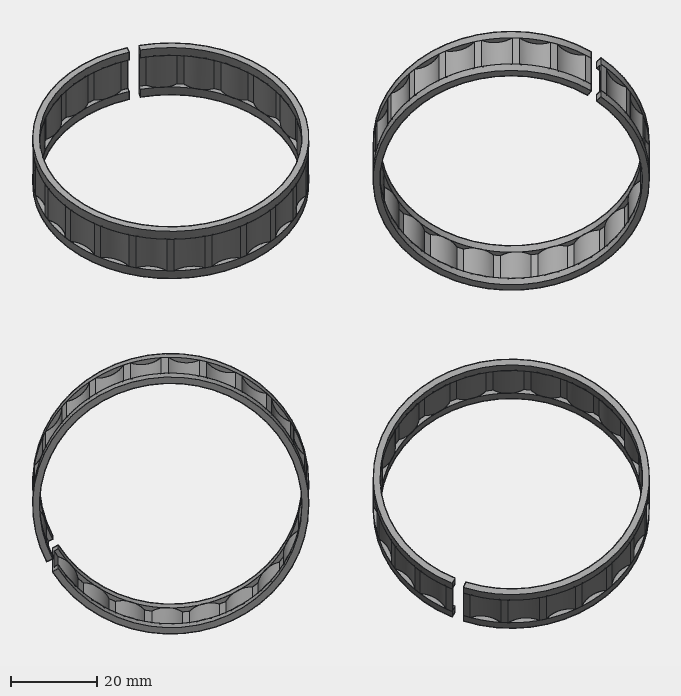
import cadquery as cq
import math

outer_diameter = 64.03
ring_wall = 1.6
height = 15.0
ring_height = 2.5

land_angle = 3.0
scoop_angle = 13.0
scoop_count = 22
gap_centre_angle = 168.0

band_thickness = 0.5
scoop_depth = 1.2

outer_radius = outer_diameter / 2
inner_radius = outer_radius - ring_wall
band_height = height - 2 * ring_height
sweep_angle = scoop_count * (scoop_angle + land_angle) + land_angle
gap_angle = 360.0 - sweep_angle
start_angle = gap_centre_angle + gap_angle / 2
end_angle = start_angle + sweep_angle


def polar(radius, angle):
    """Point at a radius and an angle in degrees about Z."""
    radians = math.radians(angle)
    return (radius * math.cos(radians), radius * math.sin(radians))


def split_ring(bottom):
    """Ring of rectangular section, open across the gap."""
    middle_angle = (start_angle + end_angle) / 2
    return (
        cq.Workplane("XY", origin=(0, 0, bottom))
        .moveTo(*polar(outer_radius, start_angle))
        .threePointArc(polar(outer_radius, middle_angle), polar(outer_radius, end_angle))
        .lineTo(*polar(inner_radius, end_angle))
        .threePointArc(polar(inner_radius, middle_angle), polar(inner_radius, start_angle))
        .close()
        .extrude(ring_height)
    )


def add_corrugations(outline, land_radius, first_angle, direction):
    """Continue the outline along every flat land and curved scoop; direction is 1 or -1 about Z."""
    scoop_radius = land_radius - scoop_depth
    land_step = direction * land_angle
    scoop_step = direction * scoop_angle
    angle = first_angle + land_step
    outline = outline.lineTo(*polar(land_radius, angle))
    for _ in range(scoop_count):
        scoop_middle = polar(scoop_radius, angle + scoop_step / 2)
        angle += scoop_step
        outline = outline.threePointArc(scoop_middle, polar(land_radius, angle))
        angle += land_step
        outline = outline.lineTo(*polar(land_radius, angle))
    return outline


def corrugated_band():
    """Thin band with flat lands whose edges lie on the outer circle and concave scoops between them."""
    land_inner_radius = outer_radius - band_thickness
    band_plane = cq.Workplane("XY", origin=(0, 0, -band_height / 2))
    outline = band_plane.moveTo(*polar(outer_radius, start_angle))
    outline = add_corrugations(outline, outer_radius, start_angle, 1)
    outline = outline.lineTo(*polar(land_inner_radius, end_angle))
    outline = add_corrugations(outline, land_inner_radius, end_angle, -1)
    return outline.close().extrude(band_height)


bottom_ring = split_ring(-height / 2)
top_ring = split_ring(height / 2 - ring_height)
result = corrugated_band().union(bottom_ring).union(top_ring)